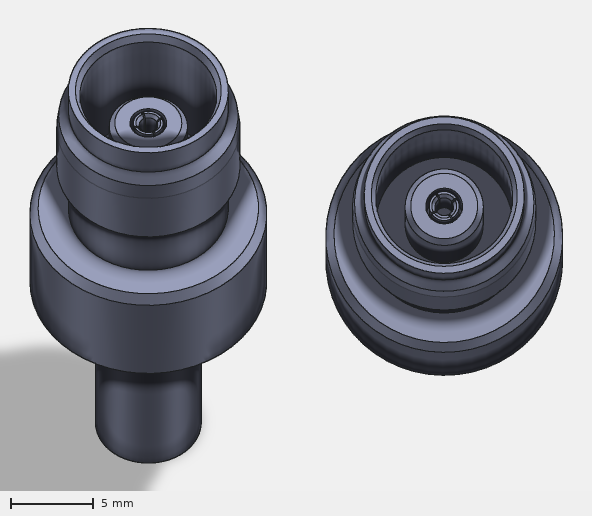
import cadquery as cq

TOTAL_HEIGHT = 31.8
FLANGE_BOTTOM = 13.0
FLANGE_HEIGHT = 7.53
FLANGE_TOP = FLANGE_BOTTOM + FLANGE_HEIGHT

STEM_RADIUS = 3.2
FLANGE_RADIUS = 7.15
FLANGE_CHAMFER = 0.5
BARREL_RADIUS = 4.83
COLLAR_RADIUS = 5.53
COLLAR_NOSE_RADIUS = 5.41
COLLAR_BOTTOM = 23.9
COLLAR_HEIGHT = 6.05
COLLAR_BEVEL = COLLAR_RADIUS - BARREL_RADIUS
COLLAR_NOSE_BEVEL = COLLAR_NOSE_RADIUS - BARREL_RADIUS
COLLAR_NOSE_HEIGHT = 1.65
COLLAR_TOP = COLLAR_BOTTOM + COLLAR_HEIGHT

BORE_RADIUS = 4.13
BORE_DEPTH = 8.3
MOUTH_RADIUS = 4.4
MOUTH_DEPTH = 0.45
BORE_FLOOR = TOTAL_HEIGHT - BORE_DEPTH

POST_RADIUS = 2.36
POST_CHAMFER = 0.34
POST_RECESS = 3.1
POST_TOP = TOTAL_HEIGHT - POST_RECESS

CLEARANCE_RADIUS = 1.1
SLEEVE_RADIUS = 0.9
CONTACT_BORE_RADIUS = 0.55
CONTACT_MOUTH_CHAMFER = 0.2
CONTACT_DEPTH = 3.0
SLOT_WIDTH = 0.1
SLOT_COUNT = 2
SLOT_PITCH_ANGLE = 180 / SLOT_COUNT


def turned(profile):
    """Solid of revolution about Z from (radius, height) points."""
    return cq.Workplane("XZ").polyline(profile).close().revolve(360, (0, 0), (0, 1))


def outer_body():
    """Stem, chamfered flange, barrel and bevelled collar turned as one profile."""
    profile = [
        (0, 0),
        (STEM_RADIUS, 0),
        (STEM_RADIUS, FLANGE_BOTTOM),
        (FLANGE_RADIUS - FLANGE_CHAMFER, FLANGE_BOTTOM),
        (FLANGE_RADIUS, FLANGE_BOTTOM + FLANGE_CHAMFER),
        (FLANGE_RADIUS, FLANGE_TOP - FLANGE_CHAMFER),
        (FLANGE_RADIUS - FLANGE_CHAMFER, FLANGE_TOP),
        (BARREL_RADIUS, FLANGE_TOP),
        (BARREL_RADIUS, COLLAR_BOTTOM),
        (COLLAR_RADIUS, COLLAR_BOTTOM + COLLAR_BEVEL),
        (COLLAR_RADIUS, COLLAR_TOP - COLLAR_NOSE_HEIGHT),
        (COLLAR_NOSE_RADIUS, COLLAR_TOP - COLLAR_NOSE_BEVEL),
        (BARREL_RADIUS, COLLAR_TOP),
        (BARREL_RADIUS, TOTAL_HEIGHT),
        (0, TOTAL_HEIGHT),
    ]
    return turned(profile)


def socket_bore():
    """Cavity at the mating end, widening in a cone at its mouth."""
    profile = [
        (0, BORE_FLOOR),
        (BORE_RADIUS, BORE_FLOOR),
        (BORE_RADIUS, TOTAL_HEIGHT - MOUTH_DEPTH),
        (MOUTH_RADIUS, TOTAL_HEIGHT),
        (0, TOTAL_HEIGHT),
    ]
    return turned(profile)


def insulator_post():
    """Chamfered post with an annular clearance around the contact sleeve."""
    post = (
        cq.Workplane("XY", origin=(0, 0, BORE_FLOOR))
        .circle(POST_RADIUS)
        .extrude(POST_TOP - BORE_FLOOR)
        .faces(">Z")
        .chamfer(POST_CHAMFER)
    )
    clearance = (
        cq.Workplane("XY", origin=(0, 0, POST_TOP))
        .circle(CLEARANCE_RADIUS)
        .circle(SLEEVE_RADIUS)
        .extrude(-CONTACT_DEPTH)
    )
    return post.cut(clearance)


def contact_bore():
    """Pin hole of the contact sleeve, chamfered at its mouth."""
    bottom = POST_TOP - CONTACT_DEPTH
    profile = [
        (0, bottom),
        (CONTACT_BORE_RADIUS, bottom),
        (CONTACT_BORE_RADIUS, POST_TOP - CONTACT_MOUTH_CHAMFER),
        (CONTACT_BORE_RADIUS + CONTACT_MOUTH_CHAMFER, POST_TOP),
        (0, POST_TOP),
    ]
    return turned(profile)


def sleeve_slots():
    """Crossed slots that split the contact sleeve into spring fingers."""
    slots = cq.Workplane("XY")
    for index in range(SLOT_COUNT):
        slot = (
            cq.Workplane("XY", origin=(0, 0, POST_TOP))
            .rect(2 * SLEEVE_RADIUS, SLOT_WIDTH)
            .extrude(-CONTACT_DEPTH)
            .rotate((0, 0, 0), (0, 0, 1), index * SLOT_PITCH_ANGLE)
        )
        slots = slots.add(slot)
    return slots.combine()


result = outer_body().cut(socket_bore()).union(insulator_post())
result = result.cut(contact_bore()).cut(sleeve_slots())